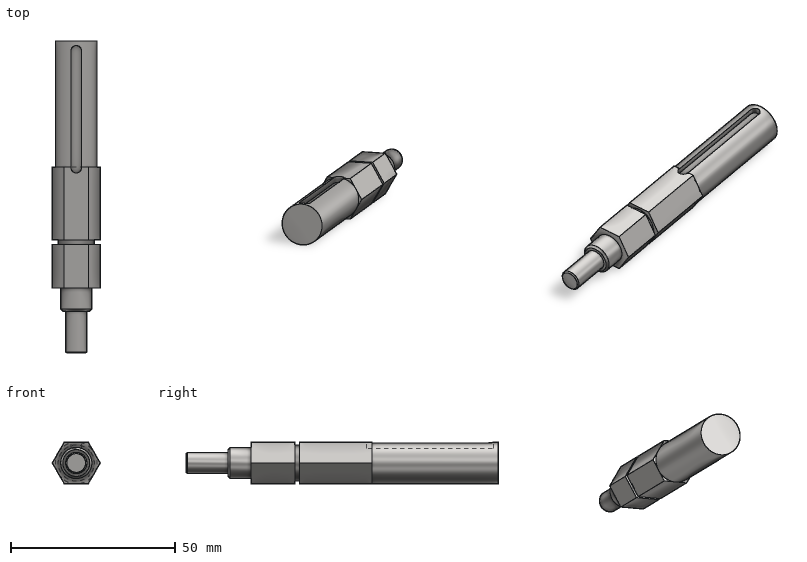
import cadquery as cq

LENGTH = 95.1
STUD_LENGTH = 12.7
COLLAR_END = 19.8
GROOVE_START = 33.1
GROOVE_END = 34.5
HEX_END = 56.7

HEX_ACROSS_CORNERS = 14.65
SHAFT_DIAMETER = 12.7
GROOVE_DIAMETER = 11.0
COLLAR_DIAMETER = 9.5
STUD_DIAMETER = 6.5

COLLAR_CHAMFER = 0.7
STUD_CHAMFER = 0.4

KEYWAY_WIDTH = 3.2
KEYWAY_DEPTH = 1.9
KEYWAY_START = 54.9
KEYWAY_END = 93.7

def section_plane(y):
    """Cross-section plane at station y, facing the shaft end, with X along +X."""
    return cq.Workplane(cq.Plane(origin=(0, y, 0), xDir=(1, 0, 0), normal=(0, 1, 0)))

def cylinder(start, end, diameter):
    return section_plane(start).circle(diameter / 2).extrude(end - start)

def hexagon(start, end):
    """Hexagonal length with corners on +X and -X and flats facing up and down."""
    return section_plane(start).polygon(6, HEX_ACROSS_CORNERS).extrude(end - start)

def keyway_cutter():
    length = KEYWAY_END - KEYWAY_START
    middle = (KEYWAY_START + KEYWAY_END) / 2
    floor = SHAFT_DIAMETER / 2 - KEYWAY_DEPTH
    return (
        cq.Workplane("XY", origin=(0, middle, floor))
        .slot2D(length, KEYWAY_WIDTH, 90)
        .extrude(2 * KEYWAY_DEPTH)
    )

stud = cylinder(0, STUD_LENGTH, STUD_DIAMETER).faces("<Y").chamfer(STUD_CHAMFER)
collar = cylinder(STUD_LENGTH, COLLAR_END, COLLAR_DIAMETER).faces("<Y").chamfer(COLLAR_CHAMFER)
groove_core = cylinder(GROOVE_START, GROOVE_END, GROOVE_DIAMETER)
shaft = cylinder(HEX_END, LENGTH, SHAFT_DIAMETER)

result = (
    stud.union(collar)
    .union(hexagon(COLLAR_END, GROOVE_START))
    .union(groove_core)
    .union(hexagon(GROOVE_END, HEX_END))
    .union(shaft)
    .cut(keyway_cutter())
    .translate((0, -LENGTH / 2, 0))
)